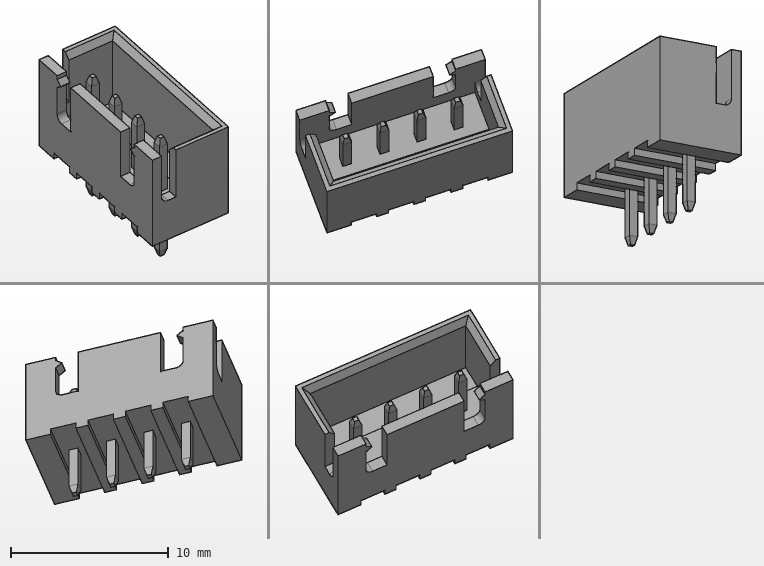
import cadquery as cq

width = 12.5
depth = 5.91
height = 7.0
wall = 0.7
front_wall = 0.72
floor_height = 1.6
ledge_height = 2.0
ledge_depth = 2.68

lead_in = 0.4
lead_in_height = 0.42

slot_width = 1.1
slot_depth = 3.82
slot_radius = 0.5
window_outer = 4.25
window_inner = 2.75
window_depth = 3.6
window_radius = 0.48
tooth_reach = 0.41
tooth_top = 0.3
tooth_height = 0.68

pin_count = 4
pitch = 2.5
pin_y = 2.41
pin_width = 0.6
pin_top = 6.2
pin_bottom = -3.4
tip_width = 0.3
tip_height = 0.55
notch_width = 1.7
notch_height = 0.48

pin_positions = [(i - (pin_count - 1) / 2) * pitch for i in range(pin_count)]


def block(x_min, x_max, y_min, y_max, z_min, z_max):
    """Axis-aligned box given by its limits."""
    size = (x_max - x_min, y_max - y_min, z_max - z_min)
    return cq.Workplane("XY").box(*size, centered=False).translate((x_min, y_min, z_min))


def make_cavity():
    """Open-topped cavity with a ledge along the front half of its floor."""
    x_side = width / 2 - wall
    y_back = depth - wall
    cavity = block(-x_side, x_side, front_wall, y_back, floor_height, height)
    ledge = block(-x_side, x_side, front_wall, front_wall + ledge_depth, floor_height, ledge_height)
    return cavity.cut(ledge)


def make_lead_in():
    """Flared mouth at the side and back walls; the front wall stays straight."""
    x_side = width / 2 - wall
    y_back = depth - wall
    y_start = front_wall - lead_in
    flare = (
        cq.Workplane("XY", origin=(0, 0, height - lead_in_height))
        .center(0, (y_start + y_back) / 2)
        .rect(2 * x_side, y_back - y_start)
        .workplane(offset=lead_in_height)
        .rect(2 * (x_side + lead_in), y_back - y_start + 2 * lead_in)
        .loft(ruled=True)
    )
    return flare.intersect(block(-width, width, front_wall, depth, 0, height))


def make_side_slot():
    """Slot through both side walls, rounded at its front lower corner."""
    y_back = front_wall + slot_width
    return (
        block(-width / 2, width / 2, front_wall, y_back, height - slot_depth, height)
        .edges("|X and <Y and <Z")
        .fillet(slot_radius)
    )


def make_window():
    """Window through the front wall at -X, with a latching tooth on its outer edge."""
    opening = (
        block(-window_outer, -window_inner, 0, front_wall, height - window_depth, height)
        .edges("|Y and <X and <Z")
        .fillet(window_radius)
    )
    tooth_start = height - tooth_top
    tooth = (
        cq.Workplane("XZ")
        .moveTo(-window_outer, tooth_start)
        .lineTo(-window_outer + tooth_reach, tooth_start - tooth_height / 2)
        .lineTo(-window_outer, tooth_start - tooth_height)
        .close()
        .extrude(-front_wall)
    )
    return opening.cut(tooth)


def make_notch(x):
    """Standoff notch under the housing, running front to back around a pin."""
    half = notch_width / 2
    return block(x - half, x + half, 0, depth, 0, notch_height)


def make_tip(x, z_base, direction):
    """Tapered end of a pin, pointing up (+1) or down (-1)."""
    return (
        cq.Workplane("XY", origin=(x, pin_y, z_base))
        .rect(pin_width, pin_width)
        .workplane(offset=direction * tip_height)
        .rect(tip_width, tip_width)
        .loft(ruled=True)
    )


def make_pin(x):
    """Square pin with a tapered tip at both ends."""
    half = pin_width / 2
    shank_bottom = pin_bottom + tip_height
    shank_top = pin_top - tip_height
    shank = block(x - half, x + half, pin_y - half, pin_y + half, shank_bottom, shank_top)
    return shank.union(make_tip(x, shank_top, 1)).union(make_tip(x, shank_bottom, -1))


window = make_window()

housing = block(-width / 2, width / 2, 0, depth, 0, height)
housing = housing.cut(make_cavity()).cut(make_lead_in()).cut(make_side_slot())
housing = housing.cut(window).cut(window.mirror("YZ"))

for x in pin_positions:
    housing = housing.cut(make_notch(x)).union(make_pin(x))

result = housing